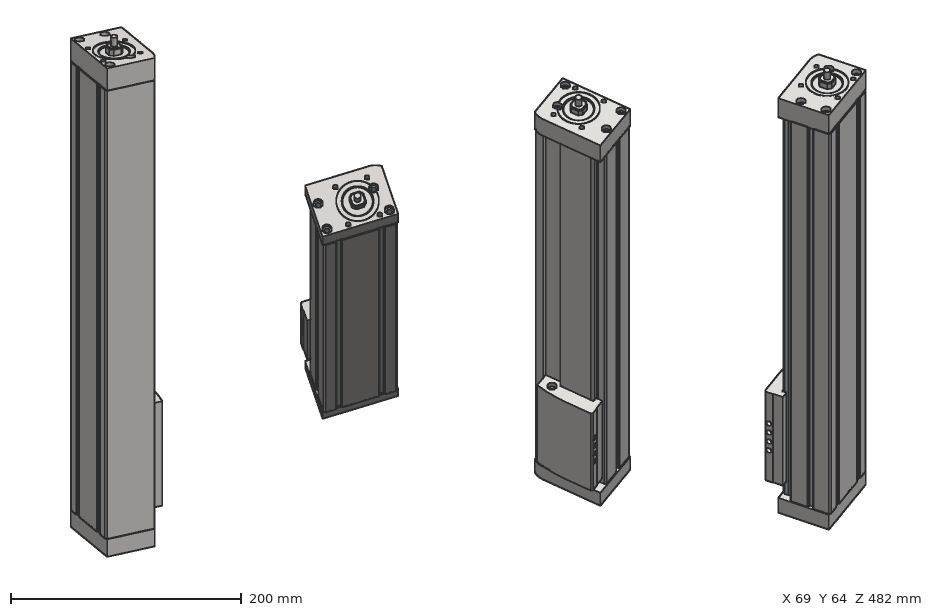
import cadquery as cq


TOTAL_HEIGHT = 482.0
LOWER_PLATE_HEIGHT = 17.0
UPPER_PLATE_HEIGHT = 21.5
SHAFT_PROJECTION = 13.5
UPPER_PLATE_TOP = TOTAL_HEIGHT - SHAFT_PROJECTION
UPPER_PLATE_BASE = UPPER_PLATE_TOP - UPPER_PLATE_HEIGHT
RAIL_LENGTH = UPPER_PLATE_BASE - LOWER_PLATE_HEIGHT

PLATE_WIDTH = 69.0
PLATE_LEFT = -39.0
PLATE_RIGHT = PLATE_LEFT + PLATE_WIDTH
PLATE_FRONT = -22.0
PLATE_BACK = 27.5
CROWN_START = 17.0
CROWN_MIDDLE = (25.0, 26.5)
CROWN_END = 24.0

SCREW_CENTRES = [(-33.3, 8.0), (-33.3, -16.5), (23.5, -16.5), (17.0, 7.0)]
SCREW_HOLE_DIAMETER = 4.5
SCREW_HEAD_DIAMETER = 8.0
SCREW_HEAD_DEPTH = 5.0
MOUNT_SPACING_X = 29.0
MOUNT_SPACING_Y = 36.0
MOUNT_HOLE_DIAMETER = 4.15
MOUNT_HOLE_DEPTH = 9.5
PILOT_DIAMETER = 37.0
PILOT_DEPTH = 1.0
BEARING_DIAMETER = 26.0
BEARING_DEPTH = 2.0
BEARING_CHAMFER = 1.0
BEARING_FLOOR = UPPER_PLATE_TOP - BEARING_DEPTH

SHAFT_DIAMETER = 6.0
COLLAR_WIDTH = 13.0
COLLAR_CORNER = 3.0
COLLAR_TOP = UPPER_PLATE_TOP + 5.0
COLLAR_CHAMFER = 1.0

RAIL_SIDE_INSET = 1.0
RAIL_LEFT = PLATE_LEFT + RAIL_SIDE_INSET
RAIL_RIGHT = PLATE_RIGHT - RAIL_SIDE_INSET
RAIL_FRONT = -23.0
RAIL_EDGE_CHAMFER = 1.5
SHOULDER_CHAMFER = 1.5
SHOULDER_TOP = 17.0
COVER_LEFT = -32.0
COVER_CHAMFER = 2.5
COVER_GROOVE_TOP = 19.5
COVER_LIP_BASE = 21.0
COVER_GROOVE_DEPTH = 1.5
SLOT_MOUTH = 6.0
SLOT_BOTTOM = 4.0
SLOT_MOUTH_DEPTH = 1.0
SLOT_DEPTH = 2.5
FRONT_SLOTS_X = [-24.0, 15.0]
SIDE_SLOT_Y = -3.5

CARRIAGE_LENGTH = 100.3
CARRIAGE_BASE = 32.0
CARRIAGE_RIGHT = 19.5
CARRIAGE_BACK = 41.0
LIP_FRONT = 23.0
LEG_LEFT = 2.0
DOME_START = -10.5
DOME_MIDDLE = (7.0, 39.5)
DOME_END = 37.0
BACK_CHAMFER = 1.5
STEP_Y = 33.0
STEP_DEPTH = 0.5
SIDE_HOLE_Y = 36.5
SIDE_HOLE_SPACING = 10.0
SIDE_HOLE_COUNT = 4
SIDE_HOLE_DIAMETER = 5.0
SIDE_HOLE_DEPTH = 5.0
END_HOLE_CENTRE = (7.5, 31.5)
END_HOLE_DIAMETER = 8.0
END_HOLE_DEPTH = 5.0
END_HOLE_PILOT_DIAMETER = 4.0
END_HOLE_PILOT_DEPTH = 9.5


def drill(body, points, top, diameter, depth):
    """Cut round holes downward from height `top`."""
    tool = cq.Workplane("XY", origin=(0, 0, top)).pushPoints(points).circle(diameter / 2).extrude(-depth)
    return body.cut(tool)


def make_end_plate(base, height):
    """A plate whose back right corner falls away in a shallow curve."""
    return (
        cq.Workplane("XY", origin=(0, 0, base))
        .moveTo(PLATE_LEFT, PLATE_FRONT)
        .lineTo(PLATE_RIGHT, PLATE_FRONT)
        .lineTo(PLATE_RIGHT, CROWN_END)
        .threePointArc(CROWN_MIDDLE, (CROWN_START, PLATE_BACK))
        .lineTo(PLATE_LEFT, PLATE_BACK)
        .close()
        .extrude(height)
    )


def make_upper_plate():
    plate = make_end_plate(UPPER_PLATE_BASE, UPPER_PLATE_HEIGHT)
    plate = drill(plate, SCREW_CENTRES, UPPER_PLATE_TOP, SCREW_HOLE_DIAMETER, UPPER_PLATE_HEIGHT)
    plate = drill(plate, SCREW_CENTRES, UPPER_PLATE_TOP, SCREW_HEAD_DIAMETER, SCREW_HEAD_DEPTH)
    mounts = [(x * MOUNT_SPACING_X / 2, y * MOUNT_SPACING_Y / 2) for x in (-1, 1) for y in (-1, 1)]
    plate = drill(plate, mounts, UPPER_PLATE_TOP, MOUNT_HOLE_DIAMETER, MOUNT_HOLE_DEPTH)
    axis = [(0, 0)]
    plate = drill(plate, axis, UPPER_PLATE_TOP, PILOT_DIAMETER, PILOT_DEPTH)
    plate = drill(plate, axis, UPPER_PLATE_TOP, BEARING_DIAMETER, BEARING_DEPTH)
    bearing_cone = cq.Solid.makeCone(
        BEARING_DIAMETER / 2,
        BEARING_DIAMETER / 2 + BEARING_CHAMFER,
        BEARING_CHAMFER,
        cq.Vector(0, 0, UPPER_PLATE_TOP - PILOT_DEPTH - BEARING_CHAMFER),
    )
    plate = plate.cut(cq.Workplane(obj=bearing_cone))
    return drill(plate, axis, UPPER_PLATE_TOP, SHAFT_DIAMETER, UPPER_PLATE_HEIGHT)


def make_shaft():
    """The shaft stub, with a square, chamfered collar that rests on the bearing floor."""
    stub = (
        cq.Workplane("XY", origin=(0, 0, UPPER_PLATE_BASE))
        .circle(SHAFT_DIAMETER / 2)
        .extrude(TOTAL_HEIGHT - UPPER_PLATE_BASE)
    )
    collar = (
        cq.Workplane("XY", origin=(0, 0, BEARING_FLOOR))
        .rect(COLLAR_WIDTH, COLLAR_WIDTH)
        .extrude(COLLAR_TOP - BEARING_FLOOR)
        .edges("|Z")
        .chamfer(COLLAR_CORNER)
        .faces(">Z")
        .chamfer(COLLAR_CHAMFER)
    )
    return stub.union(collar)


def make_slot(mouth_centre, inward_angle):
    """A slot along the rail with a wide mouth and a narrower bottom."""
    mouth = cq.Workplane("XY").rect(2 * SLOT_MOUTH_DEPTH, SLOT_MOUTH).extrude(RAIL_LENGTH)
    bottom = cq.Workplane("XY").rect(2 * SLOT_DEPTH, SLOT_BOTTOM).extrude(RAIL_LENGTH)
    slot = mouth.union(bottom).rotate((0, 0, 0), (0, 0, 1), inward_angle)
    return slot.translate((*mouth_centre, LOWER_PLATE_HEIGHT))


def make_rail():
    groove_left = COVER_LEFT + COVER_GROOVE_DEPTH
    rail = (
        cq.Workplane("XY", origin=(0, 0, LOWER_PLATE_HEIGHT))
        .moveTo(RAIL_LEFT, RAIL_FRONT + RAIL_EDGE_CHAMFER)
        .lineTo(RAIL_LEFT + RAIL_EDGE_CHAMFER, RAIL_FRONT)
        .lineTo(RAIL_RIGHT - RAIL_EDGE_CHAMFER, RAIL_FRONT)
        .lineTo(RAIL_RIGHT, RAIL_FRONT + RAIL_EDGE_CHAMFER)
        .lineTo(RAIL_RIGHT, CROWN_END)
        .threePointArc(CROWN_MIDDLE, (CARRIAGE_RIGHT, PLATE_BACK))
        .lineTo(CARRIAGE_RIGHT, LIP_FRONT)
        .lineTo(LEG_LEFT, LIP_FRONT)
        .lineTo(LEG_LEFT, PLATE_BACK)
        .lineTo(COVER_LEFT + COVER_CHAMFER, PLATE_BACK)
        .lineTo(COVER_LEFT, PLATE_BACK - COVER_CHAMFER)
        .lineTo(COVER_LEFT, COVER_LIP_BASE)
        .lineTo(groove_left, COVER_GROOVE_TOP)
        .lineTo(groove_left, SHOULDER_TOP)
        .lineTo(RAIL_LEFT + SHOULDER_CHAMFER, SHOULDER_TOP)
        .lineTo(RAIL_LEFT, SHOULDER_TOP - SHOULDER_CHAMFER)
        .close()
        .extrude(RAIL_LENGTH)
    )
    for x in FRONT_SLOTS_X:
        rail = rail.cut(make_slot((x, RAIL_FRONT), 90))
    return rail.cut(make_slot((RAIL_LEFT, SIDE_SLOT_Y), 0))


def make_carriage():
    """A domed slider with a lip over the left edge of the rail cover and a leg in the rail channel."""
    top = CARRIAGE_BASE + CARRIAGE_LENGTH
    carriage = (
        cq.Workplane("XY", origin=(0, 0, CARRIAGE_BASE))
        .moveTo(PLATE_LEFT + STEP_DEPTH, LIP_FRONT)
        .lineTo(COVER_LEFT, LIP_FRONT)
        .lineTo(COVER_LEFT, PLATE_BACK)
        .lineTo(LEG_LEFT, PLATE_BACK)
        .lineTo(LEG_LEFT, LIP_FRONT)
        .lineTo(CARRIAGE_RIGHT, LIP_FRONT)
        .lineTo(CARRIAGE_RIGHT, DOME_END)
        .threePointArc(DOME_MIDDLE, (DOME_START, CARRIAGE_BACK))
        .lineTo(PLATE_LEFT + BACK_CHAMFER, CARRIAGE_BACK)
        .lineTo(PLATE_LEFT, CARRIAGE_BACK - BACK_CHAMFER)
        .lineTo(PLATE_LEFT, STEP_Y)
        .lineTo(PLATE_LEFT + STEP_DEPTH, STEP_Y)
        .close()
        .extrude(CARRIAGE_LENGTH)
    )
    carriage = drill(carriage, [END_HOLE_CENTRE], top, END_HOLE_DIAMETER, END_HOLE_DEPTH)
    carriage = drill(carriage, [END_HOLE_CENTRE], top, END_HOLE_PILOT_DIAMETER, END_HOLE_PILOT_DEPTH)
    side_holes = (
        cq.Workplane("YZ", origin=(PLATE_LEFT, SIDE_HOLE_Y, CARRIAGE_BASE + CARRIAGE_LENGTH / 2))
        .rarray(5, SIDE_HOLE_SPACING, 1, SIDE_HOLE_COUNT)
        .circle(SIDE_HOLE_DIAMETER / 2)
        .extrude(SIDE_HOLE_DEPTH)
    )
    return carriage.cut(side_holes)


lower_plate = make_end_plate(0, LOWER_PLATE_HEIGHT)
upper_plate = make_upper_plate()
shaft = make_shaft()
rail = make_rail()
carriage = make_carriage()

result = cq.Compound.makeCompound(
    [lower_plate.val(), upper_plate.val(), shaft.val(), rail.val(), carriage.val()]
)